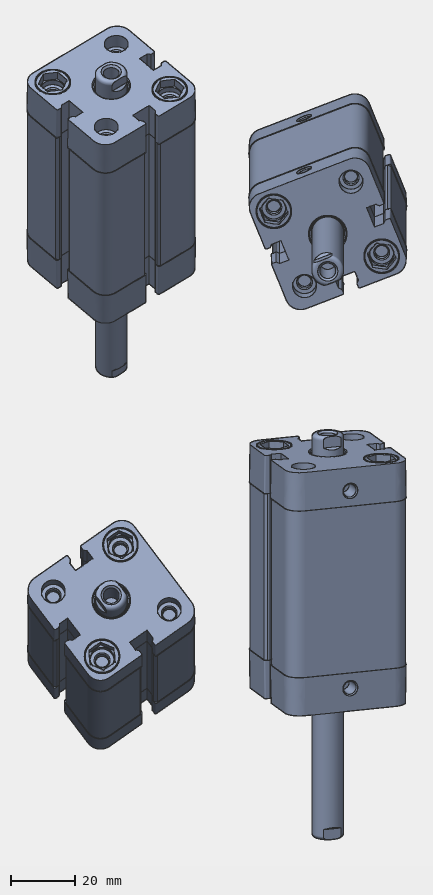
import cadquery as cq
import math


total_length = 131.0
rod_out_top = 6.0
rod_out_bottom = 46.0
cap_height = 12.5
cap_top_z = total_length - rod_out_top
cap_bottom_z = rod_out_bottom
barrel_bottom_z = cap_bottom_z + cap_height
barrel_length = cap_top_z - cap_bottom_z - 2 * cap_height
body_middle_z = (cap_top_z + cap_bottom_z) / 2

cap_wide_side = 40.3
barrel_side = 40.0
barrel_corner_radius = 4.8
cap_draft_offset = (cap_wide_side - barrel_side) / 2
cap_corner_radius = barrel_corner_radius + cap_draft_offset
cap_draft_angle = math.degrees(math.atan(cap_draft_offset / cap_height))

slot_angles = (-90, 0, 90)
slot_floor = 14.4
slot_lip = 18.3
slot_width = 6.7
slot_neck_width = 5.0
slot_cap_mouth_width = 5.9
slot_flare = (slot_width - slot_neck_width) / 2
slot_cap_edge_radius = (slot_cap_mouth_width - slot_neck_width) / 2

rod_diameter = 10.0
rod_edge_radius = 1.25
rod_flats_across = 8.0
rod_flat_length = 3.5
rod_flat_shoulder = 0.7
rod_hole_diameter = 5.0
rod_countersink_diameter = 6.3
rod_hole_depth = 11.8

opening_chamfer_diameter = 12.0
opening_diameter = 11.4
opening_depth = 1.0
clearance_diameter = 10.5
clearance_depth = 2.0

hole_spacing = 26.0
hole_diameter = 7.5
hole_depth = 5.0
thread_diameter = 5.0
thread_core_diameter = 4.2
thread_depth = 2.6

head_gap_inner = 10.5
head_gap_outer = 11.1
head_gap_depth = 0.4
socket_across_flats = 7.9
socket_bore_diameter = 8.0
socket_depth = 3.0

port_below_face = 7.5
port_depth = 6.5


def countersunk_hole(mouth_diameter, core_diameter, depth):
    """Cutter with its mouth at Z = 0, going down, with a 45 degree cone at the mouth."""
    mouth = mouth_diameter / 2
    core = core_diameter / 2
    outline = [(0, 0), (mouth, 0), (core, core - mouth), (core, -depth), (0, -depth)]
    return cq.Workplane("XZ").polyline(outline).close().revolve(360, (0, 0, 0), (0, 1, 0))


def rounded_square(side, radius, height, draft=0):
    outline = cq.Sketch().rect(side, side).vertices().fillet(radius)
    return cq.Workplane("XY").placeSketch(outline).extrude(height, taper=draft)


def cut_slots(body, half_outline, height):
    """Cut the slot outline, mirrored to full width, through the height on three sides."""
    outline = half_outline + [(x, -y) for x, y in reversed(half_outline)]
    slot = cq.Workplane("XY").polyline(outline).close().extrude(height)
    for angle in slot_angles:
        body = body.cut(slot.rotate((0, 0, 0), (0, 0, 1), angle))
    return body


def make_barrel():
    face = barrel_side / 2
    neck = slot_neck_width / 2
    half_slot = [
        (slot_floor, slot_width / 2),
        (slot_lip - slot_flare, slot_width / 2),
        (slot_lip, neck),
        (face - slot_flare, neck),
        (face, slot_width / 2),
    ]
    barrel = rounded_square(barrel_side, barrel_corner_radius, barrel_length)
    barrel = cut_slots(barrel, half_slot, barrel_length)
    bore = cq.Workplane("XY").circle(rod_diameter / 2).extrude(barrel_length)
    return barrel.cut(bore).translate((0, 0, barrel_bottom_z))


def round_slot_mouths(cap):
    """Round the two outer edges of each slot, which lean with the drafted wall."""
    wall = (cap_wide_side - cap_draft_offset) / 2
    neck = slot_neck_width / 2
    reach = slot_cap_edge_radius
    for angle in slot_angles:
        for side in (-1, 1):
            finder = cq.Workplane("XY").box(reach, reach, 2 * cap_height)
            finder = finder.translate((wall, side * neck, cap_height / 2))
            finder = finder.rotate((0, 0, 0), (0, 0, 1), angle).val().BoundingBox()
            low = (finder.xmin, finder.ymin, finder.zmin)
            high = (finder.xmax, finder.ymax, finder.zmax)
            mouth_edge = cap.edges(cq.selectors.BoxSelector(low, high)).edges("not #Z")
            cap = mouth_edge.fillet(slot_cap_edge_radius)
    return cap


def make_mounting_hole():
    hole = cq.Workplane("XY").circle(hole_diameter / 2).extrude(-hole_depth)
    thread = countersunk_hole(thread_diameter, thread_core_diameter, thread_depth)
    return hole.union(thread.translate((0, 0, -hole_depth)))


def make_screw_head_cut():
    """Ring gap around the head and the hexagon socket in it."""
    gap = cq.Workplane("XY").circle(head_gap_outer / 2).circle(head_gap_inner / 2).extrude(-head_gap_depth)
    across_corners = socket_across_flats / math.cos(math.radians(30))
    socket = cq.Workplane("XY").polygon(6, across_corners).extrude(-socket_depth)
    socket_bore = cq.Workplane("XY").circle(socket_bore_diameter / 2).extrude(-socket_depth)
    return gap.union(socket).union(socket_bore)


def make_rod_opening():
    opening = countersunk_hole(opening_chamfer_diameter, opening_diameter, opening_depth)
    clearance = cq.Workplane("XY").circle(clearance_diameter / 2).extrude(-clearance_depth)
    bore = cq.Workplane("XY").circle(rod_diameter / 2).extrude(-cap_height)
    return opening.union(clearance).union(bore)


def make_port():
    """Countersunk at the barrel outline, and open from there out through the drafted wall."""
    port = countersunk_hole(thread_diameter, thread_core_diameter, port_depth)
    mouth = cq.Workplane("XY").circle(thread_diameter / 2).extrude(cap_draft_offset)
    port = port.union(mouth).rotate((0, 0, 0), (0, 1, 0), -90)
    return port.translate((-barrel_side / 2, 0, cap_height - port_below_face))


def make_cap():
    """End cap with its barrel side at Z = 0 and its outer face at Z = cap_height."""
    cap = rounded_square(cap_wide_side, cap_corner_radius, cap_height, cap_draft_angle)
    half_slot = [
        (slot_floor, slot_width / 2),
        (slot_lip - slot_flare, slot_width / 2),
        (slot_lip, slot_neck_width / 2),
        (cap_wide_side / 2, slot_neck_width / 2),
    ]
    cap = cut_slots(cap, half_slot, cap_height)
    cap = round_slot_mouths(cap)
    cap = cap.cut(make_rod_opening().translate((0, 0, cap_height)))
    cap = cap.cut(make_port())
    for x_side in (-1, 1):
        for y_side in (-1, 1):
            place = (x_side * hole_spacing / 2, y_side * hole_spacing / 2, cap_height)
            cap = cap.cut(make_mounting_hole().translate(place))
            if x_side == y_side:
                cap = cap.cut(make_screw_head_cut().translate(place))
    return cap


def make_flat_cut():
    """Cutter for the wrench flat on the +X side of the top rod end, with a sloped shoulder."""
    inner = rod_flats_across / 2
    outer = rod_diameter / 2
    flat_end = total_length - rod_flat_length
    outline = [
        (inner, total_length),
        (inner, flat_end),
        (outer, flat_end - rod_flat_shoulder),
        (outer, total_length),
    ]
    return cq.Workplane("XZ").polyline(outline).close().extrude(rod_diameter / 2, both=True)


def make_rod():
    rod = cq.Workplane("XY").circle(rod_diameter / 2).extrude(total_length)
    rod = rod.faces("<Z or >Z").edges().fillet(rod_edge_radius)
    hole = countersunk_hole(rod_countersink_diameter, rod_hole_diameter, rod_hole_depth)
    flat = make_flat_cut()
    end_cut = hole.translate((0, 0, total_length)).union(flat).union(flat.mirror("YZ"))
    rod_middle = (0, 0, total_length / 2)
    return rod.cut(end_cut).cut(end_cut.mirror("XY", rod_middle))


barrel = make_barrel()
top_cap = make_cap().translate((0, 0, cap_top_z - cap_height))
bottom_cap = top_cap.rotate((0, 0, body_middle_z), (1, 0, body_middle_z), 180)
rod = make_rod()

result = cq.Compound.makeCompound([barrel.val(), top_cap.val(), bottom_cap.val(), rod.val()])